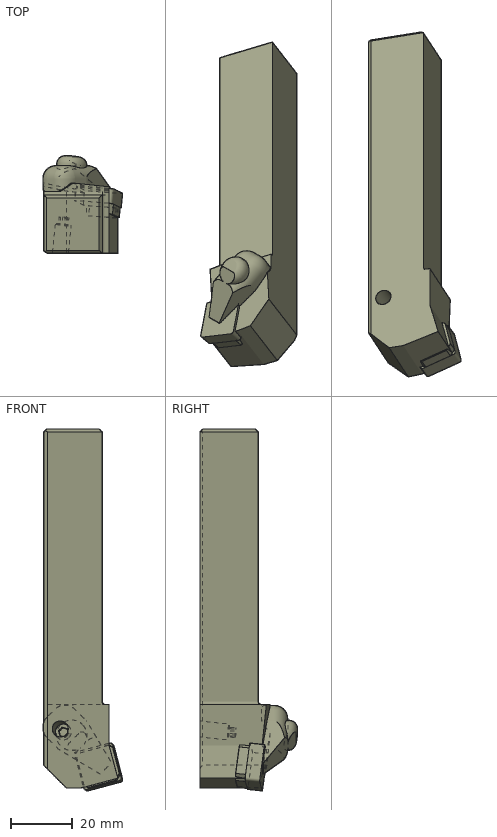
import cadquery as cq
import math

shank_width = 19.0
shank_top = 117.3
top_chamfer = 1.0
corner_chamfer_x = 1.2
corner_chamfer_y = 0.8

head_width = 21.2
head_bottom = 0.9
head_top = 28.0
head_corner = 7.4
head_round = 0.9
head_back_limit = 25.8
nose_x = 24.0
nose_z = 4.1

lead_angle = math.radians(15)
tilt = math.tan(math.radians(6))
tilted_normal = cq.Vector(tilt, 1, -tilt)

insert_side = 12.7
insert_thickness = 4.8
insert_nose_radius = 0.8
insert_tip = cq.Vector(25.8, 19.4, 3.0)
shim_thickness = 3.3
shim_corner_chamfer = 1.9

back_face_height = 22.8
back_face_z = 18.1
ledge_y = 20.1
ledge_ramp_start = 22.6
ledge_ramp_end = 18.5

clamp_x = 9.4
clamp_z = 18.1
clamp_half_width = 6.5
clamp_tail = 10.0
clamp_tail_round = 4.7
clamp_tip = 15.3
clamp_tip_half_width = 2.6
clamp_top = 28.5
clamp_edge_round = 4.3
slope_start = 4.7
slope_run = 10.0
slope_drop = 7.4

screw_axis_x = 6.1
screw_axis_z = 21.0
screw_seat = 25.8
screw_shoulder = 29.0
screw_top = 31.7
screw_radius = 4.9
screw_top_radius = 2.7
screw_bulge = 0.5

key_hole_x = 5.4
key_hole_z = 20.1
key_hole_diameter = 5.2
key_hole_depth = 9.4
socket_width = 2.8
socket_depth = 2.3

margin = 11.7
cutter_size = 2 * shank_top

insert_plane = cq.Plane(
    origin=insert_tip,
    xDir=cq.Vector(
        -math.cos(lead_angle),
        tilt * (math.cos(lead_angle) - math.sin(lead_angle)),
        -math.sin(lead_angle),
    ),
    normal=tilted_normal,
)
along_thickness = cq.selectors.ParallelDirSelector(tilted_normal)
diagonal = cq.Vector(1, -2 * tilt, -1)


def diagonal_plane(x, z):
    """Tilted plane on the front face: local X runs to the insert tip, local Z to the back."""
    return cq.Plane(origin=(x, 0, z), xDir=diagonal, normal=tilted_normal)


screw_plane = diagonal_plane(screw_axis_x, screw_axis_z)
clamp_plane = cq.Plane(origin=(clamp_x, 0, clamp_z), xDir=(1, 0, -1), normal=(0, 1, 0))


def insert_square(start, thickness):
    """Square plate on the insert seat, its back at local height start."""
    return (
        cq.Workplane(insert_plane)
        .workplane(offset=start)
        .rect(insert_side, insert_side, centered=False)
        .extrude(-thickness)
    )


def make_insert():
    plate = insert_square(0, insert_thickness)
    return plate.edges(along_thickness).fillet(insert_nose_radius)


def make_shank():
    return (
        cq.Workplane("XY")
        .workplane(offset=head_top)
        .rect(shank_width, shank_width, centered=False)
        .extrude(shank_top - head_top)
        .faces(">Z")
        .chamfer(top_chamfer)
    )


def make_head():
    slope = math.tan(lead_angle)
    heel_x = nose_x - (nose_z - head_bottom) / slope
    shoulder_z = nose_z + (nose_x - head_width) / slope
    head = (
        cq.Workplane("XZ")
        .moveTo(head_corner, head_bottom)
        .lineTo(heel_x, head_bottom)
        .lineTo(nose_x, nose_z)
        .lineTo(head_width, shoulder_z)
        .lineTo(head_width, head_top)
        .lineTo(0, head_top)
        .lineTo(0, head_bottom + head_corner)
        .close()
        .extrude(-head_back_limit)
    )
    return head.cut(back_face_cutter()).cut(ledge_cutter())


def back_face_cutter():
    back_plane = cq.Plane(origin=(0, back_face_height, back_face_z), xDir=diagonal, normal=tilted_normal)
    return cq.Workplane(back_plane).rect(cutter_size, cutter_size).extrude(margin)


def ledge_cutter():
    """Stepped upper left corner, with a ramp square to the clamp diagonal."""
    ramp_height = back_face_height - ledge_y
    foot = ledge_ramp_start / math.sqrt(2)
    ramp_run = (ledge_ramp_start - ledge_ramp_end) / math.sqrt(2)
    outer = foot + 2 * margin
    ramp_end = foot - ramp_run * margin / ramp_height
    across = cq.Plane(origin=(0, ledge_y, 0), xDir=(-1, 0, 1), normal=(-1, 0, -1))
    return (
        cq.Workplane(across)
        .polyline([(foot, 0), (outer, 0), (outer, margin), (ramp_end, margin)])
        .close()
        .extrude(shank_top, both=True)
    )


def shank_round():
    """Concave rounds along the head shoulder, on the right and back of the shank."""
    r = head_round

    def fillet_strip(plane, length):
        return (
            cq.Workplane(plane)
            .lineTo(r, 0)
            .radiusArc((0, r), r)
            .close()
            .extrude(length)
        )

    right = cq.Plane(origin=(shank_width, 0, head_top), xDir=(1, 0, 0), normal=(0, -1, 0))
    back = cq.Plane(origin=(0, shank_width, head_top), xDir=(0, 1, 0), normal=(1, 0, 0))
    return fillet_strip(right, -shank_width).union(fillet_strip(back, shank_width))


def front_corner_cutter():
    return (
        cq.Workplane("XY")
        .polyline([(0, 0), (corner_chamfer_x, 0), (0, corner_chamfer_y)])
        .close()
        .extrude(shank_top)
    )


def insert_pocket():
    """Open corner of the head, walled along the two inner sides of the insert."""
    side = insert_side + margin
    return (
        cq.Workplane(insert_plane)
        .workplane(offset=-insert_thickness)
        .center(-margin, -margin)
        .rect(side, side, centered=False)
        .extrude(margin)
    )


def make_shim():
    shim = insert_square(-insert_thickness, shim_thickness)
    return shim.edges(along_thickness).chamfer(shim_corner_chamfer)


def slope_cutter():
    """Everything above the plane that falls from the screw to the clamp tip."""
    fall = slope_drop / slope_run
    end = slope_start + 2 * margin
    high = clamp_top + fall * margin
    side_plane = cq.Plane(origin=clamp_plane.origin, xDir=clamp_plane.xDir, normal=-clamp_plane.yDir)
    return (
        cq.Workplane(side_plane)
        .polyline(
            [
                (slope_start - margin, high),
                (end, high),
                (end, clamp_top - fall * 2 * margin),
            ]
        )
        .close()
        .extrude(margin, both=True)
    )


def clamp_bar():
    """Straight bar along the diagonal with a rounded tail and a rounded top edge."""
    w = clamp_half_width
    round_start = clamp_tail_round - clamp_tail
    flat = w - clamp_tail_round
    bar_end = clamp_tip + clamp_edge_round
    return (
        cq.Workplane(clamp_plane)
        .workplane(offset=ledge_y)
        .moveTo(-clamp_tail, -flat)
        .lineTo(-clamp_tail, flat)
        .radiusArc((round_start, w), clamp_tail_round)
        .lineTo(bar_end, w)
        .lineTo(bar_end, -w)
        .lineTo(round_start, -w)
        .radiusArc((-clamp_tail, -flat), clamp_tail_round)
        .close()
        .extrude(clamp_top - ledge_y)
        .faces(">Y")
        .edges()
        .fillet(clamp_edge_round)
    )


def nose_taper():
    """Plan shape that narrows from the full width at the screw to the tip."""
    w = clamp_half_width
    tip_w = clamp_tip_half_width
    return (
        cq.Workplane(clamp_plane)
        .polyline([(-margin, -w), (0, -w), (clamp_tip, -tip_w), (clamp_tip, tip_w), (0, w), (-margin, w)])
        .close()
        .extrude(clamp_top)
    )


def make_clamp():
    above_head = back_face_cutter().union(ledge_cutter())
    return clamp_bar().intersect(nose_taper()).intersect(above_head)


def make_screw_head():
    middle_radius = (screw_radius + screw_top_radius) / 2 + screw_bulge
    middle_height = (screw_shoulder + screw_top) / 2 + screw_bulge
    side_plane = cq.Plane(origin=screw_plane.origin, xDir=screw_plane.xDir, normal=-screw_plane.yDir)
    return (
        cq.Workplane(side_plane)
        .moveTo(0, screw_seat)
        .lineTo(screw_radius, screw_seat)
        .lineTo(screw_radius, screw_shoulder)
        .threePointArc((middle_radius, middle_height), (screw_top_radius, screw_top))
        .lineTo(0, screw_top)
        .close()
        .revolve(360, (0, 0, 0), (0, 1, 0))
    )


def key_hole():
    """Tilted hole in line with the clamp screw, with a hexagon socket at its floor."""
    plane = diagonal_plane(key_hole_x, key_hole_z)
    hole = (
        cq.Workplane(plane)
        .workplane(offset=-key_hole_diameter)
        .circle(key_hole_diameter / 2)
        .extrude(key_hole_diameter + key_hole_depth)
    )
    socket = (
        cq.Workplane(plane)
        .workplane(offset=key_hole_depth)
        .polygon(6, socket_width, circumscribed=True)
        .extrude(socket_depth)
    )
    return hole.union(socket)


def make_holder(insert):
    """Shank, head, shim, clamp and screw head as one body, with room for the insert."""
    clamp = make_clamp().union(make_screw_head()).cut(slope_cutter())
    return (
        make_shank()
        .union(make_head())
        .union(shank_round())
        .cut(front_corner_cutter())
        .cut(insert_pocket())
        .union(make_shim())
        .union(clamp)
        .cut(insert)
        .cut(key_hole())
    )


insert = make_insert()
holder = make_holder(insert)

result = cq.Compound.makeCompound([holder.val(), insert.val()])